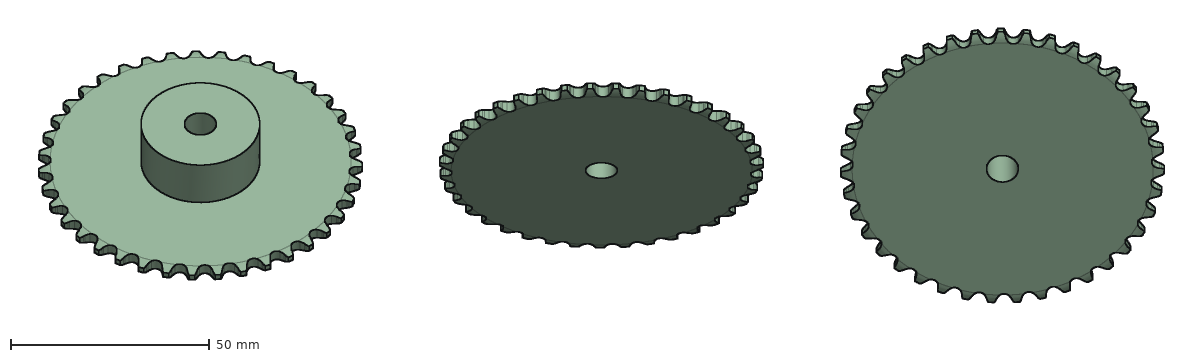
import cadquery as cq
import math

TOOTH_COUNT = 39
TOOTH_PITCH_ANGLE = 360 / TOOTH_COUNT
TIP_RADIUS = 40.8
WHEEL_THICKNESS = 2.9
FACE_RADIUS = 38.0
TOOTH_SIDE_RADIUS = 6.4

PITCH_RADIUS = 39.45
SEAT_RADIUS = 1.7
SEAT_START_SLOPE = 90.0
SEAT_END_SLOPE = 36.5
WORKING_RADIUS = 4.3
WORKING_SWEEP = 16.6
FLANK_SLOPE = SEAT_END_SLOPE - WORKING_SWEEP
FLANK_LENGTH = 0.47
TOPPING_RADIUS = 2.6
TOPPING_SWEEP = 30.0

HUB_DIAMETER = 30.0
BORE_DIAMETER = 8.0
TOTAL_HEIGHT = 16.0


def make_blank_sector():
    """One tooth pitch of the toothless disc, centred on +Y and thinned on both sides at its rim."""
    rim_width = TIP_RADIUS - FACE_RADIUS

    def thinning(distance):
        return TOOTH_SIDE_RADIUS - math.sqrt(TOOTH_SIDE_RADIUS**2 - distance**2)

    mid_radius = FACE_RADIUS + rim_width / 2
    mid_drop = thinning(rim_width / 2)
    tip_drop = thinning(rim_width)
    return (
        cq.Workplane("XZ")
        .lineTo(FACE_RADIUS, 0)
        .threePointArc((mid_radius, mid_drop), (TIP_RADIUS, tip_drop))
        .lineTo(TIP_RADIUS, WHEEL_THICKNESS - tip_drop)
        .threePointArc((mid_radius, WHEEL_THICKNESS - mid_drop), (FACE_RADIUS, WHEEL_THICKNESS))
        .lineTo(0, WHEEL_THICKNESS)
        .close()
        .revolve(TOOTH_PITCH_ANGLE, (0, 0), (0, 1))
        .rotate((0, 0, 0), (0, 0, 1), 90 - TOOTH_PITCH_ANGLE / 2)
    )


def make_gap_cutter():
    """Prism that cuts the one tooth gap centred on the +Y axis."""
    def advance(point, length, slope):
        """Point reached by going a straight length from point at the given slope."""
        angle = math.radians(slope)
        return point[0] + length * math.sin(angle), point[1] + length * math.cos(angle)

    def arc_point(start, radius, start_slope, end_slope):
        """Point where an arc leaving start at start_slope reaches end_slope."""
        half_sweep = math.radians(abs(end_slope - start_slope)) / 2
        return advance(start, 2 * radius * math.sin(half_sweep), (start_slope + end_slope) / 2)

    def mirrored(point):
        return -point[0], point[1]

    seat_bottom = (0, PITCH_RADIUS - SEAT_RADIUS)
    seat_end = arc_point(seat_bottom, SEAT_RADIUS, SEAT_START_SLOPE, SEAT_END_SLOPE)
    working_middle = arc_point(
        seat_end, WORKING_RADIUS, SEAT_END_SLOPE, SEAT_END_SLOPE - WORKING_SWEEP / 2
    )
    working_end = arc_point(seat_end, WORKING_RADIUS, SEAT_END_SLOPE, FLANK_SLOPE)
    flank_end = advance(working_end, FLANK_LENGTH, FLANK_SLOPE)
    topping_middle = arc_point(flank_end, TOPPING_RADIUS, FLANK_SLOPE, FLANK_SLOPE + TOPPING_SWEEP / 2)
    topping_end = arc_point(flank_end, TOPPING_RADIUS, FLANK_SLOPE, FLANK_SLOPE + TOPPING_SWEEP)
    return (
        cq.Workplane("XY")
        .moveTo(*mirrored(topping_end))
        .threePointArc(mirrored(topping_middle), mirrored(flank_end))
        .lineTo(*mirrored(working_end))
        .threePointArc(mirrored(working_middle), mirrored(seat_end))
        .threePointArc(seat_bottom, seat_end)
        .threePointArc(working_middle, working_end)
        .lineTo(*flank_end)
        .threePointArc(topping_middle, topping_end)
        .close()
        .extrude(WHEEL_THICKNESS)
    )


def make_wheel():
    """Ring of equal sectors, each holding one gap between two half teeth."""
    sector = make_blank_sector().cut(make_gap_cutter()).val()
    turns = [index * TOOTH_PITCH_ANGLE for index in range(TOOTH_COUNT)]
    sectors = [sector.rotate(cq.Vector(0, 0, 0), cq.Vector(0, 0, 1), turn) for turn in turns]
    return cq.Workplane(sectors[0].fuse(*sectors[1:]).clean())


hub = cq.Workplane("XY").circle(HUB_DIAMETER / 2).extrude(TOTAL_HEIGHT)
bore = cq.Workplane("XY").circle(BORE_DIAMETER / 2).extrude(TOTAL_HEIGHT)
result = make_wheel().union(hub).cut(bore)